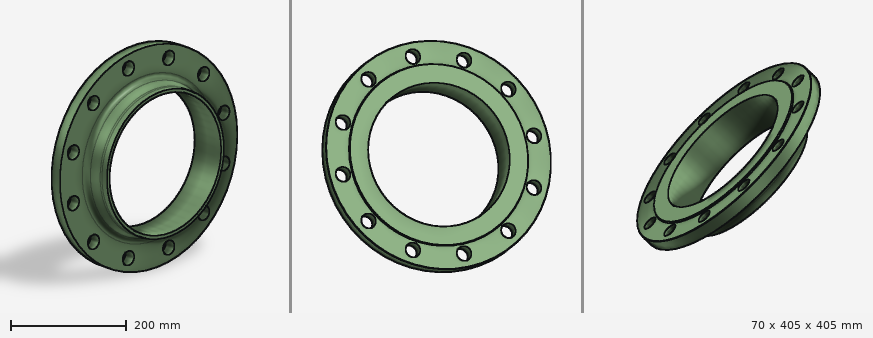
import cadquery as cq

total_length = 70.0
raised_face_height = 3.0
flange_back = 26.0
hub_cone_end = 54.3

flange_diameter = 405.0
raised_face_diameter = 320.0
raised_face_root_diameter = 322.5
neck_diameter = 267.0
bore_diameter = 254.5
hub_base_diameter = 286.7

bolt_count = 12
bolt_hole_diameter = 26.0
bolt_circle_diameter = 355.0

hub_root_fillet = 12.0
hub_neck_fillet = 12.0
rim_chamfer = 1.0
selection_margin = 0.5


def revolved_body():
    """Tapered raised face, flange plate, conical hub and weld neck around the X axis."""
    bore_radius = bore_diameter / 2
    raised_face_radius = raised_face_diameter / 2
    raised_face_root_radius = raised_face_root_diameter / 2
    flange_radius = flange_diameter / 2
    hub_base_radius = hub_base_diameter / 2
    neck_radius = neck_diameter / 2
    profile = (
        cq.Workplane("XY")
        .moveTo(0, bore_radius)
        .lineTo(0, raised_face_radius)
        .lineTo(raised_face_height, raised_face_root_radius)
        .lineTo(raised_face_height, flange_radius - rim_chamfer)
        .lineTo(raised_face_height + rim_chamfer, flange_radius)
        .lineTo(flange_back, flange_radius)
        .lineTo(flange_back, hub_base_radius)
        .lineTo(hub_cone_end, neck_radius)
        .lineTo(total_length, neck_radius)
        .lineTo(total_length, bore_radius)
        .close()
    )
    return profile.revolve(360, (0, 0, 0), (1, 0, 0))


def round_corner(body, x, diameter, fillet_radius):
    """Fillet the circular edge of the given diameter at the given X."""
    half_width = diameter / 2 + selection_margin
    corner_box = cq.selectors.BoxSelector(
        (x - selection_margin, -half_width, -half_width),
        (x + selection_margin, half_width, half_width),
        boundingbox=True,
    )
    return body.edges(corner_box).fillet(fillet_radius)


def bolt_holes():
    """Cutters on the bolt circle, straddling the Y and Z axes."""
    first_angle = 180 / bolt_count
    return (
        cq.Workplane("YZ")
        .polarArray(bolt_circle_diameter / 2, first_angle, 360, bolt_count)
        .circle(bolt_hole_diameter / 2)
        .extrude(flange_back)
    )


body = revolved_body()
body = round_corner(body, flange_back, hub_base_diameter, hub_root_fillet)
body = round_corner(body, hub_cone_end, neck_diameter, hub_neck_fillet)
result = body.cut(bolt_holes())